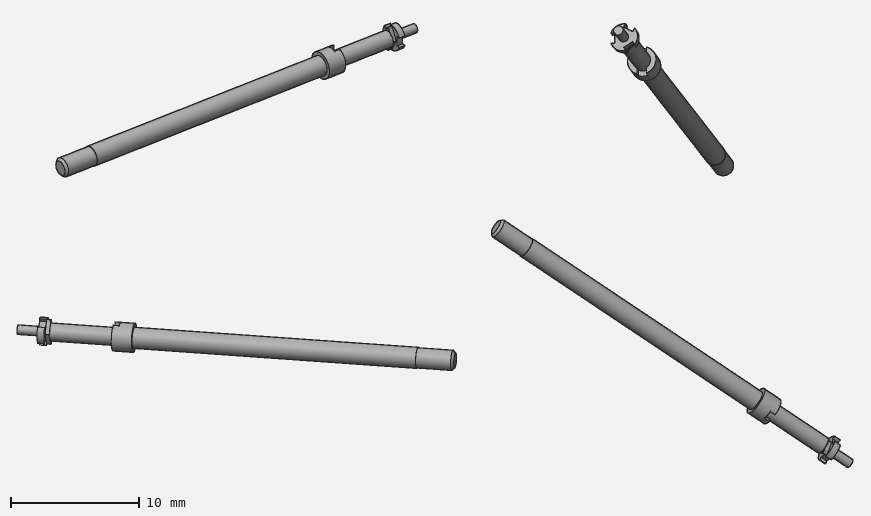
import cadquery as cq

overall_length = 34.7
front_end = -overall_length / 2
back_end = overall_length / 2

tip_diameter = 1.6
tip_length = 3.0
tip_bevel = 0.2

tube_diameter = 1.65
tube_length = 22.5

collar_diameter = 2.3
collar_length = 1.6
keyway_width = 0.75
keyway_depth = 0.5

pin_diameter = 0.75
pin_length = 1.75
flange_diameter = 2.22
flange_thickness = 0.55
notch_count = 3
notch_width = 0.85
notch_floor_radius = 0.73
waist_length = 0.35
waist_width = 1.25
waist_sharp_height = 2.35
waist_tip_radius = 0.15

barrel_diameter = 1.42

tip_back = front_end + tip_length
collar_front = tip_back + tube_length
collar_back = collar_front + collar_length
flange_back = back_end - pin_length
flange_front = flange_back - flange_thickness
waist_front = flange_front - waist_length


def cross_section(y):
    """Workplane across the axis at y, facing +Y, with its local y axis along +Z."""
    plane = cq.Plane(origin=(0, y, 0), xDir=(-1, 0, 0), normal=(0, 1, 0))
    return cq.Workplane(plane)


def cylinder(diameter, start, end):
    """Round section between two places on the axis."""
    return cross_section(start).circle(diameter / 2).extrude(end - start)


def make_tip():
    """Round end section with its front rim beveled at 45 degrees."""
    return cylinder(tip_diameter, front_end, tip_back).faces("<Y").chamfer(tip_bevel)


def make_collar():
    """Collar with a vertical keyway cut into its rear face."""
    keyway_front = collar_back - keyway_depth
    keyway = cross_section(keyway_front).rect(keyway_width, collar_diameter).extrude(keyway_depth)
    return cylinder(collar_diameter, collar_front, collar_back).cut(keyway)


def make_flange():
    """Disc with flat-bottomed notches spaced evenly round its rim, the first at +X."""
    flange = cylinder(flange_diameter, flange_front, flange_back)
    notch_depth = flange_diameter / 2 - notch_floor_radius
    block = cq.Workplane("XY").box(notch_depth, flange_thickness, notch_width, centered=(False, False, True))
    notch = block.translate((notch_floor_radius, flange_front, 0))
    for index in range(notch_count):
        angle = index * 360 / notch_count
        flange = flange.cut(notch.rotate((0, 0, 0), (0, 1, 0), angle))
    return flange


def make_waist():
    """Diamond section, taller than wide, with rounded top and bottom corners."""
    side = waist_width / 2
    top = waist_sharp_height / 2
    corners = [(side, 0), (0, top), (-side, 0), (0, -top)]
    diamond = cross_section(waist_front).polyline(corners).close().extrude(waist_length)
    return diamond.edges(">Z or <Z").fillet(waist_tip_radius)


result = (
    make_tip()
    .union(cylinder(tube_diameter, tip_back, collar_front))
    .union(make_collar())
    .union(cylinder(barrel_diameter, collar_back - keyway_depth, waist_front))
    .union(make_waist())
    .union(make_flange())
    .union(cylinder(pin_diameter, flange_back, back_end))
)